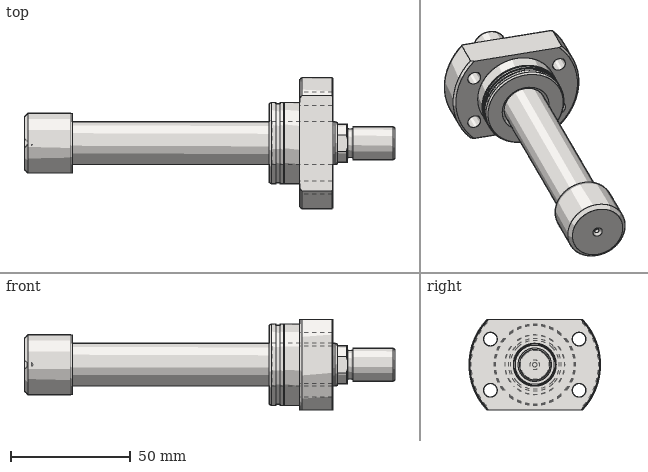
import cadquery as cq
import math

total_length = 155.0
piston_end = 20.2
collar_start = 102.3
flange_start = 115.0
flange_end = 129.0
rod_taper_start = 129.9
wrench_start = 130.8
wrench_end = 135.0
thread_start = 137.3

piston_radius = 12.5
piston_chamfer = 1.5
piston_taper_length = 1.0
piston_taper_depth = 0.2

centre_mouth_radius = 2.0
centre_drill_radius = 1.0
centre_drill_depth = 3.1
centre_tip_angle = 60.0

rod_radius = 9.0
wrench_radius = 8.7
wrench_across_flats = 16.0
wrench_chamfer = 0.5
undercut_radius = 6.0
undercut_fillet = 0.5
thread_radius = 7.0
thread_chamfer = 1.0
thread_chamfer_depth = 0.6

flange_diameter = 55.0
flange_radius = flange_diameter / 2
flange_height = 38.0
flange_front_chamfer = 1.0
flange_back_chamfer = 0.5
collar_radius = 17.0
collar_lead_length = 1.0
collar_lead_depth = 0.6
seal_groove_start = 105.1
seal_groove_width = 1.9
seal_groove_depth = 0.5
fine_groove_start = 108.3
fine_groove_width = 0.5
fine_groove_depth = 0.2
rod_bore_chamfer = 1.2
bolt_circle_radius = 21.4
bolt_hole_radius = 2.8
bolt_angle = 30.0


def revolve_about_x(profile):
    """Revolve (x, radius) points, closed along the X axis, into a solid."""
    return cq.Workplane("XY").polyline(profile).close().revolve(360, (0, 0, 0), (1, 0, 0))


def cylinder_x(start, end, radius):
    return cq.Workplane("YZ", origin=(start, 0, 0)).circle(radius).extrude(end - start)


def ring_x(start, width, outer_radius, inner_radius):
    """Ring-shaped cutter around the X axis."""
    return (
        cq.Workplane("YZ", origin=(start, 0, 0))
        .circle(outer_radius)
        .circle(inner_radius)
        .extrude(width)
    )


def centre_hole():
    countersink_depth = centre_mouth_radius - centre_drill_radius
    tip_length = centre_drill_radius / math.tan(math.radians(centre_tip_angle))
    return revolve_about_x([
        (0, 0),
        (0, centre_mouth_radius),
        (countersink_depth, centre_drill_radius),
        (centre_drill_depth, centre_drill_radius),
        (centre_drill_depth + tip_length, 0),
    ])


def make_piston():
    blank = revolve_about_x([
        (0, 0),
        (0, piston_radius - piston_chamfer),
        (piston_chamfer, piston_radius),
        (piston_end - piston_taper_length, piston_radius),
        (piston_end, piston_radius - piston_taper_depth),
        (piston_end, 0),
    ])
    return blank.cut(centre_hole())


def make_wrench_section():
    section = cylinder_x(wrench_start, wrench_end, wrench_radius).faces(">X").chamfer(wrench_chamfer)
    length = wrench_end - wrench_start
    square = cq.Workplane("XY").box(length, wrench_across_flats, wrench_across_flats)
    return section.intersect(square.translate((wrench_start + length / 2, 0, 0)))


def make_threaded_end():
    fillet_mid = undercut_fillet * (1 - math.sqrt(0.5))
    root = undercut_radius + undercut_fillet
    return (
        cq.Workplane("XY")
        .moveTo(wrench_end, 0)
        .lineTo(wrench_end, root)
        .threePointArc(
            (wrench_end + fillet_mid, undercut_radius + fillet_mid),
            (wrench_end + undercut_fillet, undercut_radius),
        )
        .lineTo(thread_start - undercut_fillet, undercut_radius)
        .threePointArc(
            (thread_start - fillet_mid, undercut_radius + fillet_mid),
            (thread_start, root),
        )
        .lineTo(thread_start, thread_radius)
        .lineTo(total_length - thread_chamfer, thread_radius)
        .lineTo(total_length, thread_radius - thread_chamfer_depth)
        .lineTo(total_length, 0)
        .close()
        .revolve(360, (0, 0, 0), (1, 0, 0))
    )


def make_rod():
    shank = revolve_about_x([
        (piston_end, 0),
        (piston_end, rod_radius),
        (rod_taper_start, rod_radius),
        (wrench_start, wrench_radius),
        (wrench_start, 0),
    ])
    return shank.union(make_wrench_section()).union(make_threaded_end())


def make_flange():
    disc = revolve_about_x([
        (flange_start, 0),
        (flange_start, flange_radius - flange_front_chamfer),
        (flange_start + flange_front_chamfer, flange_radius),
        (flange_end - flange_back_chamfer, flange_radius),
        (flange_end, flange_radius - flange_back_chamfer),
        (flange_end, 0),
    ])
    thickness = flange_end - flange_start
    slab = cq.Workplane("XY").box(thickness, flange_diameter, flange_height)
    flange = disc.intersect(slab.translate((flange_start + thickness / 2, 0, 0)))
    for angle in (bolt_angle, 180 - bolt_angle, 180 + bolt_angle, -bolt_angle):
        y = bolt_circle_radius * math.cos(math.radians(angle))
        z = bolt_circle_radius * math.sin(math.radians(angle))
        flange = flange.cut(cylinder_x(flange_start, flange_end, bolt_hole_radius).translate((0, y, z)))
    return flange


def make_collar():
    collar = revolve_about_x([
        (collar_start, 0),
        (collar_start, collar_radius - collar_lead_depth),
        (collar_start + collar_lead_length, collar_radius),
        (flange_start, collar_radius),
        (flange_start, 0),
    ])
    grooves = (
        (seal_groove_start, seal_groove_width, seal_groove_depth),
        (fine_groove_start, fine_groove_width, fine_groove_depth),
    )
    for start, width, depth in grooves:
        collar = collar.cut(ring_x(start, width, collar_radius, collar_radius - depth))
    return collar


def make_gland():
    rod_bore = revolve_about_x([
        (collar_start, 0),
        (collar_start, rod_radius + rod_bore_chamfer),
        (collar_start + rod_bore_chamfer, rod_radius),
        (flange_end, rod_radius),
        (flange_end, 0),
    ])
    return make_flange().union(make_collar()).cut(rod_bore)


piston = make_piston()
rod = make_rod()
gland = make_gland()

result = cq.Compound.makeCompound([piston.val(), rod.val(), gland.val()])